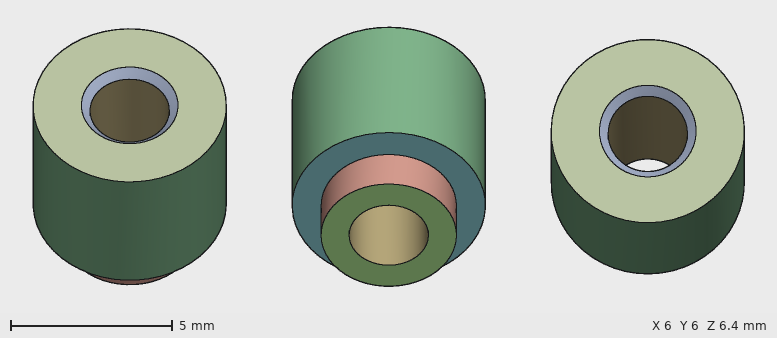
import cadquery as cq

body_diameter = 6.0
body_height = 5.0
spigot_diameter = 4.2
spigot_height = 1.4
bore_diameter = 2.46
countersink_diameter = 3.0

countersink_size = (countersink_diameter - bore_diameter) / 2


def make_stepped_body():
    """Cylindrical body standing on z = 0 with a narrower spigot below it."""
    body = cq.Workplane("XY").circle(body_diameter / 2).extrude(body_height)
    spigot = cq.Workplane("XY").circle(spigot_diameter / 2).extrude(-spigot_height)
    return body.union(spigot)


def cut_bore(part):
    """Through bore along Z."""
    return part.faces(">Z").workplane().circle(bore_diameter / 2).cutThruAll()


def countersink_bore(part):
    """Bevel the bore's upper rim."""
    bore_rim = cq.selectors.RadiusNthSelector(0)
    return part.faces(">Z").edges(bore_rim).chamfer(countersink_size)


result = countersink_bore(cut_bore(make_stepped_body()))